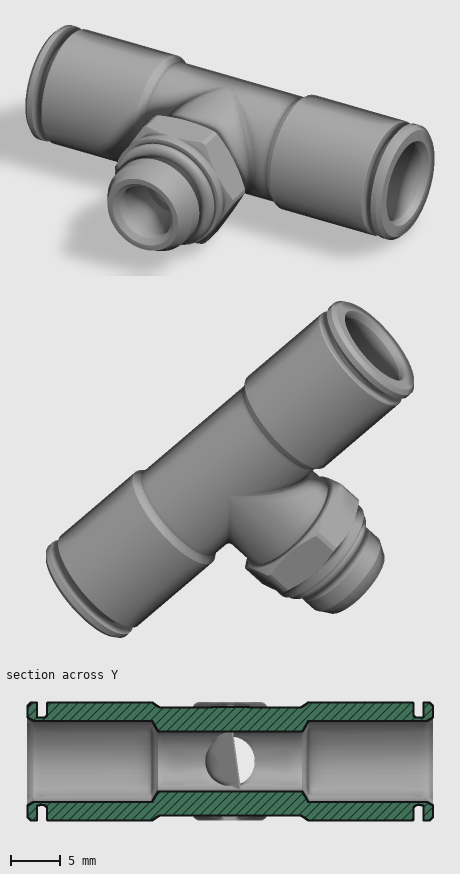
import cadquery as cq
import math


run_half_length = 20.5
body_diameter = 11.0
socket_diameter = 12.0
socket_inner_end = 7.9
socket_shoulder_end = 7.15
socket_outer_end = 18.5
socket_edge_chamfer = 0.1
shoulder_middle = 7.48
shoulder_middle_diameter = 11.4

collar_thickness = 1.0
collar_chamfer = 0.4
collar_neck_diameter = 8.9
neck_socket_end_diameter = 9.3
neck_collar_end_diameter = 9.0
neck_flare_length = 0.25

tube_bore_diameter = 8.15
tube_mouth_diameter = 8.9
tube_bore_end = socket_inner_end
run_bore_diameter = 6.0
stud_mouth_diameter = 7.0
stud_bore_diameter = 6.0
branch_bore_diameter = 5.0
tube_mouth_angle = 60.0
stud_mouth_angle = 45.0
bore_bottom_angle = 30.0

branch_end = 8.5
mitre_fillet = 0.5
groove_diameter = 10.6
hex_start = 8.7
hex_end = 12.15
hex_across_flats = 12.0
hex_corner_diameter = 13.6
hex_chamfer_angle = 30.0
hex_turn = 30.0
washer_face_diameter = 12.0
washer_face_end = 13.2
seal_diameter = 11.3
seal_end = 14.3
seal_radius = 0.65
relief_diameter = 7.9
thread_diameter = 9.7
thread_tip_diameter = 8.15
thread_end = 16.8
stud_end = 18.2

web_thickness = 0.2
web_edge_offset = 1.02
web_tilt = 11.0
web_turn = 45.0
web_length = 8.0
web_height = 10.0


def revolve_about_branch(points):
    """Solid of revolution about the branch axis from (radius, distance) points."""
    profile = cq.Workplane("XY").polyline([(radius, -distance) for radius, distance in points]).close()
    return profile.revolve(360, (0, 0, 0), (0, 1, 0))


def revolve_about_run(points):
    """Solid of revolution about the run axis from (distance, radius) points."""
    return cq.Workplane("XY").polyline(points).close().revolve(360, (0, 0, 0), (1, 0, 0))


def cone_depth(large_diameter, small_diameter, tilt):
    """Axial length of a cone whose surface is tilted from the flat end face."""
    return (large_diameter - small_diameter) / 2 * math.tan(math.radians(tilt))


def revolve_symmetric_run(points):
    """Run solid from its +X half profile, repeated on the -X side."""
    opposite_points = [(-distance, radius) for distance, radius in reversed(points)]
    return revolve_about_run(opposite_points + points)


def run_body():
    collar_back = run_half_length - collar_thickness
    socket_radius = socket_diameter / 2
    body_radius = body_diameter / 2
    neck_radius = collar_neck_diameter / 2
    return revolve_symmetric_run([
        (socket_shoulder_end, body_radius),
        (shoulder_middle, shoulder_middle_diameter / 2),
        (socket_inner_end, socket_radius),
        (socket_outer_end - socket_edge_chamfer, socket_radius),
        (socket_outer_end, socket_radius - socket_edge_chamfer),
        (socket_outer_end, neck_socket_end_diameter / 2),
        (socket_outer_end + neck_flare_length, neck_radius),
        (collar_back - neck_flare_length, neck_radius),
        (collar_back, neck_collar_end_diameter / 2),
        (collar_back, socket_radius),
        (run_half_length - collar_chamfer, socket_radius),
        (run_half_length, socket_radius - collar_chamfer),
        (run_half_length, 0),
    ])


def branch_tube():
    """Branch of the run's own diameter, pointed so that both meet in a 45 degree mitre."""
    radius = body_diameter / 2
    tube = cq.Workplane("XZ").circle(radius).extrude(branch_end)
    mitre = (
        cq.Workplane("XY")
        .polyline([(0, 0), (radius, -radius), (radius, -branch_end), (-radius, -branch_end), (-radius, -radius)])
        .close()
        .extrude(radius, both=True)
    )
    return tube.intersect(mitre)


def tee_body():
    """Run and branch joined, with a fillet along the mitre edges."""
    radius = body_diameter / 2
    mitre_region = cq.selectors.BoxSelector(
        (-socket_shoulder_end, -branch_end, -radius - mitre_fillet),
        (socket_shoulder_end, 0, radius + mitre_fillet),
    )
    tee = run_body().union(branch_tube())
    return tee.edges("%ELLIPSE").edges(mitre_region).fillet(mitre_fillet)


def hexagon():
    corner_radius = hex_corner_diameter / 2
    flat_radius = hex_across_flats / 2
    chamfer_depth = cone_depth(hex_corner_diameter, hex_across_flats, hex_chamfer_angle)
    prism = (
        cq.Workplane("XZ", origin=(0, -hex_start, 0))
        .polygon(6, hex_across_flats, circumscribed=True)
        .extrude(hex_end - hex_start)
        .rotate((0, 0, 0), (0, 1, 0), hex_turn)
    )
    envelope = revolve_about_branch([
        (0, hex_start),
        (flat_radius, hex_start),
        (corner_radius, hex_start + chamfer_depth),
        (corner_radius, hex_end - chamfer_depth),
        (flat_radius, hex_end),
        (0, hex_end),
    ])
    return prism.intersect(envelope)


def seal_ring():
    centre_radius = seal_diameter / 2 - seal_radius
    centre_distance = seal_end - seal_radius
    section_plane = cq.Plane(origin=(centre_radius, -centre_distance, 0), xDir=(-1, 0, 0), normal=(0, 0, 1))
    section = cq.Workplane(section_plane).circle(seal_radius)
    return section.revolve(360, (centre_radius, 0, 0), (centre_radius, 1, 0))


def stud():
    groove_radius = groove_diameter / 2
    washer_radius = washer_face_diameter / 2
    relief_radius = relief_diameter / 2
    thread_radius = thread_diameter / 2
    thread_start = seal_end + thread_radius - relief_radius
    groove = revolve_about_branch([
        (0, branch_end),
        (groove_radius, branch_end),
        (groove_radius, hex_start),
        (0, hex_start),
    ])
    shank = revolve_about_branch([
        (0, hex_end),
        (washer_radius, hex_end),
        (washer_radius, washer_face_end),
        (relief_radius, washer_face_end),
        (relief_radius, seal_end),
        (thread_radius, thread_start),
        (thread_radius, thread_end),
        (thread_tip_diameter / 2, stud_end),
        (0, stud_end),
    ])
    return groove.union(hexagon()).union(shank).union(seal_ring())


def run_bore():
    bore_radius = run_bore_diameter / 2
    tube_radius = tube_bore_diameter / 2
    cone_end = tube_bore_end - cone_depth(tube_bore_diameter, run_bore_diameter, bore_bottom_angle)
    mouth_start = run_half_length - cone_depth(tube_mouth_diameter, tube_bore_diameter, tube_mouth_angle)
    return revolve_symmetric_run([
        (cone_end, bore_radius),
        (tube_bore_end, tube_radius),
        (mouth_start, tube_radius),
        (run_half_length, tube_mouth_diameter / 2),
        (run_half_length, 0),
    ])


def branch_bore():
    bore_radius = branch_bore_diameter / 2
    stud_bore_radius = stud_bore_diameter / 2
    stud_bore_start = hex_end
    cone_start = stud_bore_start - cone_depth(stud_bore_diameter, branch_bore_diameter, bore_bottom_angle)
    mouth_start = stud_end - cone_depth(stud_mouth_diameter, stud_bore_diameter, stud_mouth_angle)
    return revolve_about_branch([
        (0, 0),
        (bore_radius, 0),
        (bore_radius, cone_start),
        (stud_bore_radius, stud_bore_start),
        (stud_bore_radius, mouth_start),
        (stud_mouth_diameter / 2, stud_end),
        (0, stud_end),
    ])


def web():
    """Plate set diagonally between the bores, with one free edge across the run bore."""
    plate = cq.Workplane("XY").box(web_length, web_thickness, web_height, centered=(False, False, True))
    return (
        plate.rotate((0, 0, 0), (1, 0, 0), -web_tilt)
        .translate((0, -web_edge_offset, 0))
        .rotate((0, 0, 0), (0, 0, 1), -web_turn)
    )


bores = run_bore().union(branch_bore())
outer_body = tee_body().union(stud())
result = outer_body.cut(bores.cut(web()))